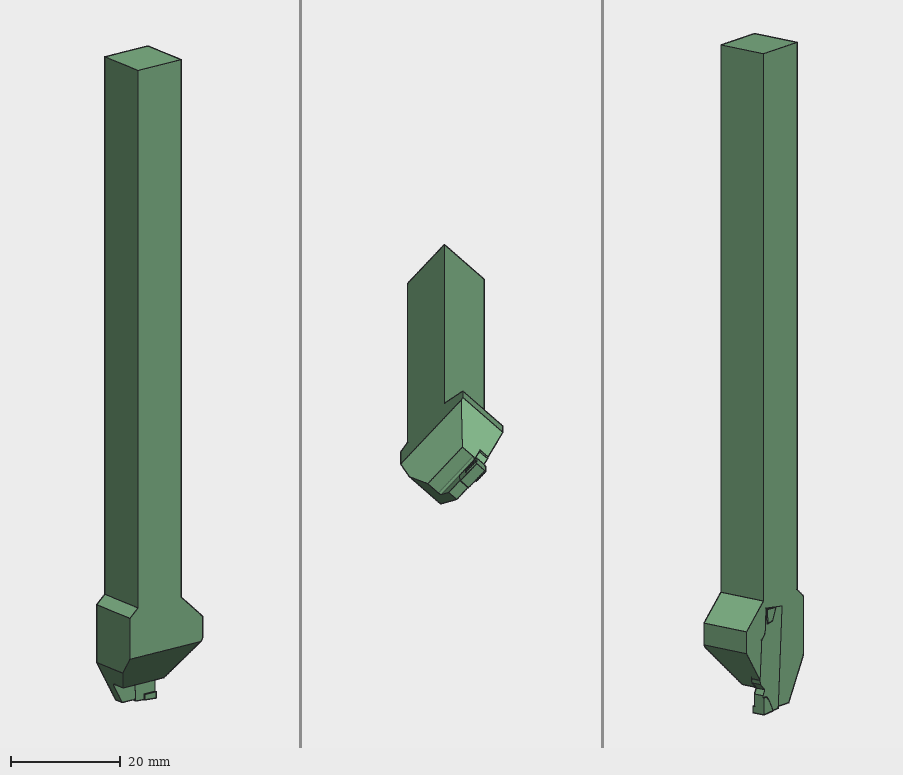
import cadquery as cq

TOOL_LENGTH = 125
SHANK_WIDTH = 10.0
SHANK_THICKNESS = 9.9

HEAD_FRONT_Y = -1.9
HEAD_WIDTH = 16.9
HEAD_BACK_Y = HEAD_FRONT_Y + HEAD_WIDTH
FRONT_SHOULDER_TOP = 21.5
FRONT_SHOULDER_BOTTOM = 19.9
FRONT_SLOPE_TOP = 8.8
BACK_SHOULDER_TOP = 21.5
BACK_SHOULDER_BOTTOM = 16.8
BACK_SLOPE_TOP = 12.6
HOLDER_BOTTOM = 0.6
BOTTOM_FRONT_Y = 2.5
BOTTOM_BACK_Y = 6.9

BLADE_THICKNESS = 2.0
RELIEF_SLOPE_TOP = 12.0
RELIEF_SLOPE_END_X = 5.1
RELIEF_STEP_Z = 4.8
RELIEF_FILLET = 0.5

RAISED_HEIGHT = 0.2
TIP_SIDE_OVERHANG = 0.4
TIP_OVERHANG_TOP = 1.2
TIP_BACK_Y = 10.1
TIP_TOP = 3.2
TIP_FRONT_Y = 7.5
TIP_BOTTOM_FRONT_Z = 0.19
TIP_SHOULDER_Y = 9.2
TIP_ARC_MID = (8.4, 2.0)
INSERT_BOTTOM_FRONT = (5.6, 0.2)
INSERT_TOP_FRONT = (4.5, 19.4)
INSERT_TOP_BACK = (9.2, 20.0)
INSERT_BACK_EDGE = [
    (9.5, 15.2),
    (10.5, 14.2),
    (11.0, 6.6),
    (10.9, 5.9),
    (9.6, 4.6),
    (TIP_BACK_Y, 3.6),
]
PAD_OUTLINE = [(9.1, 19.8), (6.6, 19.6), (7.6, 17.2), (9.0, 17.0)]


def prism_along_x(outline, start_x, end_x):
    """Extrude a closed YZ outline from start_x to end_x."""
    profile = cq.Workplane("YZ", origin=(start_x, 0, 0)).polyline(outline).close()
    return profile.extrude(end_x - start_x)


def make_relief():
    """Material removed from the +X side to leave the thin blade."""
    profile = (
        cq.Workplane("XZ", origin=(0, HEAD_BACK_Y, 0))
        .moveTo(SHANK_THICKNESS, RELIEF_SLOPE_TOP)
        .lineTo(RELIEF_SLOPE_END_X, RELIEF_STEP_Z)
        .lineTo(BLADE_THICKNESS + RELIEF_FILLET, RELIEF_STEP_Z)
        .radiusArc((BLADE_THICKNESS, RELIEF_STEP_Z - RELIEF_FILLET), -RELIEF_FILLET)
        .lineTo(BLADE_THICKNESS, 0)
        .lineTo(SHANK_THICKNESS, 0)
        .close()
    )
    return profile.extrude(HEAD_WIDTH)


def make_insert_body():
    outline = [INSERT_BOTTOM_FRONT, INSERT_TOP_FRONT, INSERT_TOP_BACK, *INSERT_BACK_EDGE, (TIP_BACK_Y, 0)]
    return prism_along_x(outline, 0, BLADE_THICKNESS)


def make_holder():
    outline = [
        (0, TOOL_LENGTH),
        (0, FRONT_SHOULDER_TOP),
        (HEAD_FRONT_Y, FRONT_SHOULDER_BOTTOM),
        (HEAD_FRONT_Y, FRONT_SLOPE_TOP),
        (BOTTOM_FRONT_Y, HOLDER_BOTTOM),
        (BOTTOM_BACK_Y, HOLDER_BOTTOM),
        (HEAD_BACK_Y, BACK_SLOPE_TOP),
        (HEAD_BACK_Y, BACK_SHOULDER_BOTTOM),
        (SHANK_WIDTH, BACK_SHOULDER_TOP),
        (SHANK_WIDTH, TOOL_LENGTH),
    ]
    blank = prism_along_x(outline, 0, SHANK_THICKNESS)
    return blank.cut(make_relief()).cut(make_insert_body())


def make_raised_tip():
    """Cutting tip standing proud of the -X face, with a curved front boundary."""
    return (
        cq.Workplane("YZ", origin=(-RAISED_HEIGHT, 0, 0))
        .moveTo(TIP_BACK_Y, 0)
        .lineTo(TIP_BACK_Y, TIP_TOP)
        .lineTo(TIP_SHOULDER_Y, TIP_TOP)
        .threePointArc(TIP_ARC_MID, (TIP_FRONT_Y, TIP_BOTTOM_FRONT_Z))
        .close()
        .extrude(RAISED_HEIGHT)
    )


def make_tip_overhang():
    """Widening of the cutting edge beyond the +X face of the blade."""
    outline = [
        (TIP_BACK_Y, 0),
        (TIP_BACK_Y, TIP_OVERHANG_TOP),
        (TIP_FRONT_Y, TIP_OVERHANG_TOP),
        (TIP_FRONT_Y, TIP_BOTTOM_FRONT_Z),
    ]
    return prism_along_x(outline, BLADE_THICKNESS, BLADE_THICKNESS + TIP_SIDE_OVERHANG)


def make_insert():
    raised_pad = prism_along_x(PAD_OUTLINE, -RAISED_HEIGHT, 0)
    return make_insert_body().union(raised_pad).union(make_raised_tip()).union(make_tip_overhang())


holder = make_holder()
insert = make_insert()
result = cq.Compound.makeCompound([holder.val(), insert.val()])